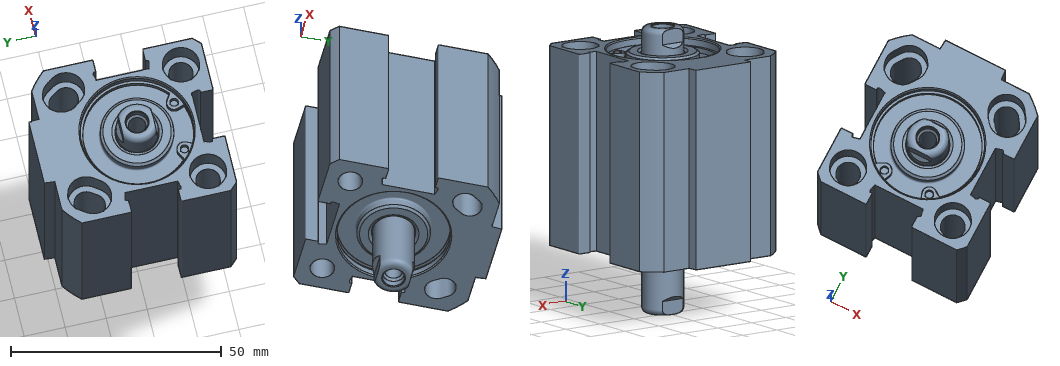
import cadquery as cq
import math

housing_length = 48.5
half_width = 20.0
back_y = 22.0
envelope_radius = 27.0
rail_y = 24.5
rail_base_half = 8.2
rail_top_half = 8.0

slot_half_opening = 6.05
slot_lip_inner = 16.9
slot_undercut_half = 6.95
slot_floor_half = 6.4
slot_floor = 14.8
slot_undercut_fillet = 0.5
slot_edge_fillet = 0.3
slot_directions = (180, 270, 0)

mount_x = 14.0
mount_y = 14.0
mount_slot_shift_x = -1.0
mount_slot_shift_y = 1.45
mount_diameter = 5.8
mount_bore_diameter = 8.8
mount_bore_depth = 5.8

bore_diameter = 25.0
seat_diameter = 27.0
seat_chamfer = 0.3
groove_diameter = 28.4
groove_width = 1.3
cover_depth = 3.2
cover_thickness = 8.0

cover_diameter = 26.9
boss_diameter = 17.5
boss_recess = 0.55
boss_chamfer_width = 0.65
boss_chamfer_height = 0.5
boss_root_fillet = 0.4
seal_seat_diameter = 11.4
seal_seat_chamfer_width = 0.3
seal_seat_chamfer_height = 0.15
seal_lip_diameter = 10.48
seal_lip_depth = 0.4
rod_passage_depth = 0.9

rod_diameter = 10.0
rod_top_reach = 5.5
rod_bottom_reach = 15.5
rod_end_fillet = 1.4
flat_half_width = 4.0
flat_length = 3.6
rod_hole_diameter = 4.13
rod_entry_diameter = 5.25
rod_entry_depth = 1.8
rod_entry_chamfer = 0.2

ring_inner_diameter = 25.8
ring_thickness = 1.2
lug_hole_diameter = 2.0
lug_radius = 1.8
lug_centre_radius = 11.9
lug_half_angle = 30.75
gap_angle = -91.5
lug_gap_side_tilt = 9.0
lug_ring_side_tilt = 28.0


def slot_cutter(direction):
    """Undercut slot on the side of the housing that faces the given direction."""
    round_start_x = half_width - slot_edge_fillet
    mouth_half = slot_half_opening + slot_edge_fillet
    cutter = (
        cq.Workplane("XY")
        .moveTo(slot_floor, -slot_floor_half)
        .lineTo(slot_lip_inner, -slot_undercut_half)
        .lineTo(slot_lip_inner, -slot_half_opening)
        .lineTo(round_start_x, -slot_half_opening)
        .radiusArc((half_width, -mouth_half), slot_edge_fillet)
        .lineTo(half_width, mouth_half)
        .radiusArc((round_start_x, slot_half_opening), slot_edge_fillet)
        .lineTo(slot_lip_inner, slot_half_opening)
        .lineTo(slot_lip_inner, slot_undercut_half)
        .lineTo(slot_floor, slot_floor_half)
        .close()
        .extrude(housing_length)
    )
    for side in (-1, 1):
        undercut_corner = (slot_lip_inner, side * slot_undercut_half, housing_length / 2)
        cutter = (
            cutter.edges("|Z")
            .edges(cq.selectors.NearestToPointSelector(undercut_corner))
            .fillet(slot_undercut_fillet)
        )
    return cutter.rotate((0, 0, 0), (0, 0, 1), direction)


def mounting_cutter(side, diameter, depth, stretched):
    """Round or stretched hole of the given depth below the top face, on the -X or +X side."""
    x, y = side * mount_x, mount_y if stretched else -mount_y
    top = cq.Workplane("XY").workplane(offset=housing_length)
    hole = top.center(x, y).circle(diameter / 2).extrude(-depth)
    if stretched:
        dx, dy = side * mount_slot_shift_x, mount_slot_shift_y
        length = math.hypot(dx, dy)
        far_end = top.center(x + dx, y + dy).circle(diameter / 2).extrude(-depth)
        between = (
            top.center(x + dx / 2, y + dy / 2)
            .transformed(rotate=(0, 0, math.degrees(math.atan2(dy, dx))))
            .rect(length, diameter)
            .extrude(-depth)
        )
        hole = hole.union(far_end).union(between)
    return hole


def end_cutter():
    """Cover seat, ring groove and mouth chamfer of the top end."""
    seat_depth = cover_depth + cover_thickness
    top = cq.Workplane("XY").workplane(offset=housing_length)
    seat = top.circle(seat_diameter / 2).extrude(-seat_depth)
    mouth = top.circle(seat_diameter / 2 + seat_chamfer).extrude(-seat_chamfer, taper=45)
    groove = (
        top.workplane(offset=-cover_depth).circle(groove_diameter / 2).extrude(groove_width)
    )
    return seat.union(mouth).union(groove)


def at_bottom(shape):
    """The mirror image of a top-end shape, at the bottom end of the housing."""
    return shape.mirror("XY", (0, 0, housing_length / 2))


def make_housing():
    body = (
        cq.Workplane("XY")
        .center(0, (back_y - half_width) / 2)
        .rect(2 * half_width, back_y + half_width)
        .extrude(housing_length)
        .intersect(cq.Workplane("XY").circle(envelope_radius).extrude(housing_length))
    )
    rail = (
        cq.Workplane("XY")
        .polyline([
            (-rail_base_half, back_y),
            (-rail_top_half, rail_y),
            (rail_top_half, rail_y),
            (rail_base_half, back_y),
        ])
        .close()
        .extrude(housing_length)
    )
    body = body.union(rail)
    for direction in slot_directions:
        body = body.cut(slot_cutter(direction))
    for side in (-1, 1):
        for stretched in (False, True):
            body = body.cut(mounting_cutter(side, mount_diameter, housing_length, stretched))
            body = body.cut(mounting_cutter(side, mount_bore_diameter, mount_bore_depth, stretched))
    body = body.cut(cq.Workplane("XY").circle(bore_diameter / 2).extrude(housing_length))
    return body.cut(end_cutter()).cut(at_bottom(end_cutter()))


def make_cover():
    """Top cover, turned about Z: flange, boss and stepped rod passage."""
    face_z = housing_length - cover_depth
    base_z = face_z - cover_thickness
    boss_z = housing_length - boss_recess
    boss_r = boss_diameter / 2
    rod_r = rod_diameter / 2
    seat_r = seal_seat_diameter / 2
    lip_r = seal_lip_diameter / 2
    lip_z = boss_z - seal_lip_depth
    passage_z = boss_z - rod_passage_depth
    return (
        cq.Workplane("XZ")
        .moveTo(rod_r, base_z)
        .lineTo(cover_diameter / 2, base_z)
        .lineTo(cover_diameter / 2, face_z)
        .lineTo(boss_r + boss_root_fillet, face_z)
        .radiusArc((boss_r, face_z + boss_root_fillet), boss_root_fillet)
        .lineTo(boss_r, boss_z - boss_chamfer_height)
        .lineTo(boss_r - boss_chamfer_width, boss_z)
        .lineTo(seat_r + seal_seat_chamfer_width, boss_z)
        .lineTo(seat_r, boss_z - seal_seat_chamfer_height)
        .lineTo(lip_r, lip_z)
        .lineTo(lip_r, passage_z)
        .lineTo(rod_r, passage_z)
        .close()
        .revolve(360, (0, 0, 0), (0, 1, 0))
    )


def flat_cutter(end_z, inward, side):
    """Wrench flat with a 45 degree run-out; inward is the Z direction into the rod."""
    rod_r = rod_diameter / 2
    overrun = rod_diameter - flat_half_width
    flat_z = end_z + inward * flat_length
    return (
        cq.Workplane("YZ")
        .polyline([
            (side * flat_half_width, end_z),
            (side * flat_half_width, flat_z),
            (side * rod_diameter, flat_z + inward * overrun),
            (side * rod_diameter, end_z),
        ])
        .close()
        .extrude(rod_r, both=True)
    )


def entry_cutter(end_z, inward):
    """Counterbored mouth of the rod's through hole, with a conical floor."""
    entry_r = rod_entry_diameter / 2
    hole_r = rod_hole_diameter / 2
    cone_depth = entry_r - hole_r
    return (
        cq.Workplane("XZ")
        .moveTo(0, end_z)
        .lineTo(entry_r + rod_entry_chamfer, end_z)
        .lineTo(entry_r, end_z + inward * rod_entry_chamfer)
        .lineTo(entry_r, end_z + inward * rod_entry_depth)
        .lineTo(hole_r, end_z + inward * (rod_entry_depth + cone_depth))
        .lineTo(0, end_z + inward * (rod_entry_depth + cone_depth))
        .close()
        .revolve(360, (0, 0, 0), (0, 1, 0))
    )


def make_rod():
    bottom_z = -rod_bottom_reach
    top_z = housing_length + rod_top_reach
    body = (
        cq.Workplane("XY")
        .workplane(offset=bottom_z)
        .circle(rod_diameter / 2)
        .extrude(top_z - bottom_z)
        .edges()
        .fillet(rod_end_fillet)
    )
    hole = (
        cq.Workplane("XY")
        .workplane(offset=bottom_z)
        .circle(rod_hole_diameter / 2)
        .extrude(top_z - bottom_z)
    )
    body = body.cut(hole)
    for end_z, inward in ((bottom_z, 1), (top_z, -1)):
        body = body.cut(entry_cutter(end_z, inward))
        for side in (-1, 1):
            body = body.cut(flat_cutter(end_z, inward, side))
    return body


def polar(radius, degrees):
    return cq.Vector(
        radius * math.cos(math.radians(degrees)), radius * math.sin(math.radians(degrees))
    )


def make_lug(plane, side):
    """Lug at one end of the ring: a round nose with two straight edges running outward."""
    angle = gap_angle + side * lug_half_angle
    centre = polar(lug_centre_radius, angle)
    gap_edge = angle - side * lug_gap_side_tilt
    ring_edge = angle + side * lug_ring_side_tilt
    gap_start = centre + polar(lug_radius, gap_edge - side * 90)
    ring_start = centre + polar(lug_radius, ring_edge + side * 90)
    reach = groove_diameter / 2
    corners = [
        gap_start,
        gap_start + polar(reach, gap_edge),
        ring_start + polar(reach, ring_edge),
        ring_start,
        centre,
    ]
    fan = plane.polyline([(p.x, p.y) for p in corners]).close().extrude(ring_thickness)
    nose = plane.center(centre.x, centre.y).circle(lug_radius).extrude(ring_thickness)
    hole = plane.center(centre.x, centre.y).circle(lug_hole_diameter / 2).extrude(ring_thickness)
    disc = plane.circle(groove_diameter / 2).extrude(ring_thickness)
    return fan.union(nose).intersect(disc), hole


def make_ring():
    plane = cq.Workplane("XY").workplane(offset=housing_length - cover_depth)
    ring = (
        plane.circle(groove_diameter / 2).circle(ring_inner_diameter / 2).extrude(ring_thickness)
    )
    gap_corners = [polar(groove_diameter, gap_angle + side * lug_half_angle) for side in (-1, 1)]
    gap = (
        plane.polyline([(0, 0)] + [(p.x, p.y) for p in gap_corners])
        .close()
        .extrude(ring_thickness)
    )
    ring = ring.cut(gap)
    for side in (-1, 1):
        lug, hole = make_lug(plane, side)
        ring = ring.union(lug).cut(hole)
    return ring


housing = make_housing()
top_cover = make_cover()
covers = [top_cover, at_bottom(top_cover)]
rod = make_rod()
ring = make_ring()

result = cq.Compound.makeCompound(
    [housing.val(), *[cover.val() for cover in covers], rod.val(), ring.val()]
)